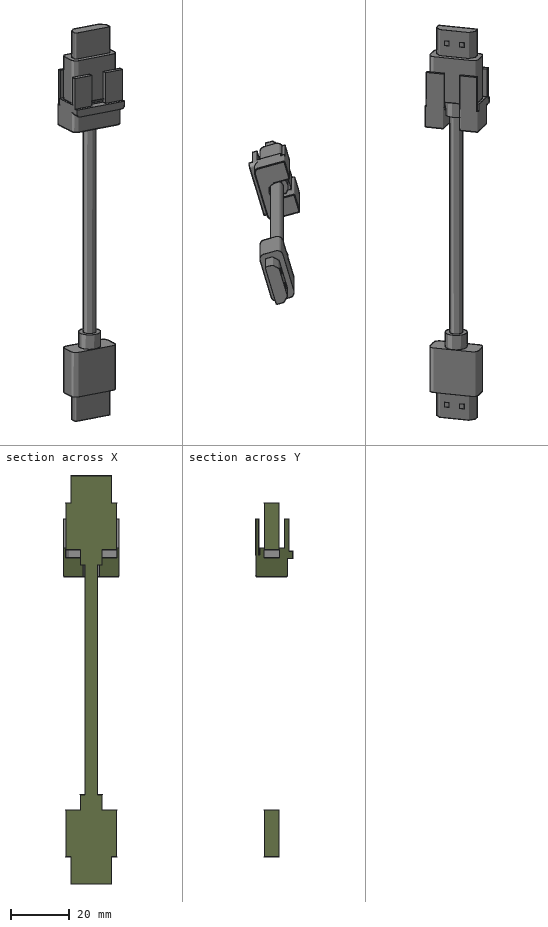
import cadquery as cq

LENGTH = 138.6
CORD_RADIUS = 2.2
RELIEF_RADIUS = 3.7
RELIEF_LENGTH = 5.1

GRIP_X = 8.0
GRIP_Y = 17.3
GRIP_LENGTH = 16.0
GRIP_FILLET = 2.0

SHELL_X = 4.5
SHELL_Y = 13.9
SHELL_LENGTH = 9.3
SHELL_CHAMFER = 1.8
SHELL_CHAMFER_BLEND = 0.5
SHELL_CORNER_FILLET = 0.4

LATCH_SIZE = 1.7
LATCH_SPACING = 5.4
LATCH_FROM_TIP = 4.7
LATCH_DEPTH = 0.1

GRIP_BOTTOM = SHELL_LENGTH
GRIP_TOP = GRIP_BOTTOM + GRIP_LENGTH
RELIEF_TOP = GRIP_TOP + RELIEF_LENGTH
UPPER_RELIEF_BOTTOM = LENGTH - RELIEF_TOP

CLIP_Y = 19.0
CLIP_LEFT = -5.4
CLIP_RIGHT = 5.7
CLIP_BOTTOM = 104.2
BASE_TOP = 111.7
GRIP_SEAT_FLOOR = 110.7
RIM_TOP = 114.0
ARM_TOP = 123.9
CLIP_FILLET = 0.5
BASE_RIGHT_FILLET = 1.8
BASE_BOTTOM_CHAMFER = 0.3

ARM_INNER_X = 4.3
RIGHT_ARM_OUTER_X = 6.0
SLOT_WIDTH = 5.5

LIP_RIGHT = 7.2
LIP_TOP = 113.0
LIP_BOTTOM = 110.3
LIP_FILLET = 1.2


def box_between(x_min, x_max, y_min, y_max, z_min, z_max):
    """Axis-aligned box given by its limits."""
    size = (x_max - x_min, y_max - y_min, z_max - z_min)
    return cq.Workplane("XY").box(*size, centered=False).translate((x_min, y_min, z_min))


def cylinder_between(radius, z_min, z_max):
    """Cylinder around the Z axis."""
    return cq.Workplane("XY").workplane(offset=z_min).circle(radius).extrude(z_max - z_min)


def grip_block(z_min, z_max):
    """Rounded block with the outline of a plug grip."""
    block = cq.Workplane("XY").workplane(offset=z_min).rect(GRIP_X, GRIP_Y).extrude(z_max - z_min)
    return block.edges("|Z").fillet(GRIP_FILLET)


def plug_shell():
    """Metal plug shell, with its two -X corners slanted and two shallow latch recesses."""
    shell = cq.Workplane("XY").rect(SHELL_X, SHELL_Y).extrude(SHELL_LENGTH)
    shell = shell.edges("|Z and <X").chamfer(SHELL_CHAMFER)
    shell = shell.edges("|Z and (not >X)").fillet(SHELL_CHAMFER_BLEND)
    shell = shell.edges("|Z and >X").fillet(SHELL_CORNER_FILLET)
    latches = (
        cq.Workplane("YZ", origin=(-SHELL_X / 2, 0, LATCH_FROM_TIP))
        .pushPoints([(-LATCH_SPACING / 2, 0), (LATCH_SPACING / 2, 0)])
        .rect(LATCH_SIZE, LATCH_SIZE)
        .extrude(LATCH_DEPTH)
    )
    return shell.cut(latches)


def lower_plug():
    """Plug with its tip at Z = 0: shell, grip and round strain relief."""
    grip = grip_block(GRIP_BOTTOM, GRIP_TOP)
    relief = cylinder_between(RELIEF_RADIUS, GRIP_TOP, RELIEF_TOP)
    return plug_shell().union(grip).union(relief)


def make_cable():
    """Cord with a plug at each end; the upper plug mirrors the lower one."""
    plug = lower_plug()
    cord = cylinder_between(CORD_RADIUS, RELIEF_TOP, UPPER_RELIEF_BOTTOM)
    return cord.union(plug).union(plug.mirror("XY", (0, 0, LENGTH / 2)))


def clip_base():
    """Foot below the grip, with a round-ended cord slot from the left and a relief seat."""
    base = box_between(CLIP_LEFT, CLIP_RIGHT, -CLIP_Y / 2, CLIP_Y / 2, CLIP_BOTTOM, BASE_TOP)
    base = base.edges("|Z and >X").fillet(BASE_RIGHT_FILLET)
    entry = box_between(CLIP_LEFT, 0, -SLOT_WIDTH / 2, SLOT_WIDTH / 2, CLIP_BOTTOM, BASE_TOP)
    base = base.cut(entry).edges("|Z and <X").fillet(CLIP_FILLET)
    base = base.faces("<Z").edges().chamfer(BASE_BOTTOM_CHAMFER)
    cord_end = cylinder_between(SLOT_WIDTH / 2, CLIP_BOTTOM, BASE_TOP)
    relief_seat = cylinder_between(RELIEF_RADIUS, UPPER_RELIEF_BOTTOM, BASE_TOP)
    return base.cut(cord_end).cut(relief_seat)


def clip_rim():
    """Low block that becomes a wall around the grip, open on the left, once the seat is cut."""
    return box_between(
        -GRIP_X / 2, RIGHT_ARM_OUTER_X, -CLIP_Y / 2, CLIP_Y / 2, BASE_TOP, RIM_TOP
    )


def clip_lip():
    """Bar along the right side, rounded under both ends."""
    lip_left = CLIP_RIGHT - BASE_RIGHT_FILLET
    lip = box_between(lip_left, LIP_RIGHT, -CLIP_Y / 2, CLIP_Y / 2, LIP_BOTTOM, LIP_TOP)
    return lip.edges("|X and <Z").fillet(LIP_FILLET)


def left_arms():
    """Pair of rounded tongues left of the grip, one on each side of the slot."""
    tongues = cq.Workplane("XY")
    for side in (-1, 1):
        inner, outer = side * SLOT_WIDTH / 2, side * (CLIP_Y / 2 - CLIP_FILLET)
        tongue = box_between(
            CLIP_LEFT, -ARM_INNER_X, min(inner, outer), max(inner, outer), BASE_TOP, ARM_TOP
        )
        slot_edge = ">Y" if side < 0 else "<Y"
        tongues = tongues.add(tongue.edges(f"|Z and <X and {slot_edge}").fillet(CLIP_FILLET))
    return tongues


def right_wall():
    """Wall right of the grip, as high as the arms."""
    return box_between(
        ARM_INNER_X, RIGHT_ARM_OUTER_X, -CLIP_Y / 2, CLIP_Y / 2, BASE_TOP, ARM_TOP
    )


def right_slot():
    """Gap that parts the right wall into two arms, down to the top of the lip."""
    return box_between(
        ARM_INNER_X, RIGHT_ARM_OUTER_X, -SLOT_WIDTH / 2, SLOT_WIDTH / 2, LIP_TOP, ARM_TOP
    )


def make_clip():
    """Base, rim, lip and arms fused into one solid, with a seat matching the grip."""
    clip = clip_base().union(clip_rim()).union(right_wall()).cut(right_slot()).union(clip_lip())
    for tongue in left_arms().vals():
        clip = clip.union(cq.Workplane(tongue))
    return clip.cut(grip_block(GRIP_SEAT_FLOOR, ARM_TOP))


cable = make_cable()
clip = make_clip()

result = cq.Compound.makeCompound([cable.solids().val(), clip.solids().val()])